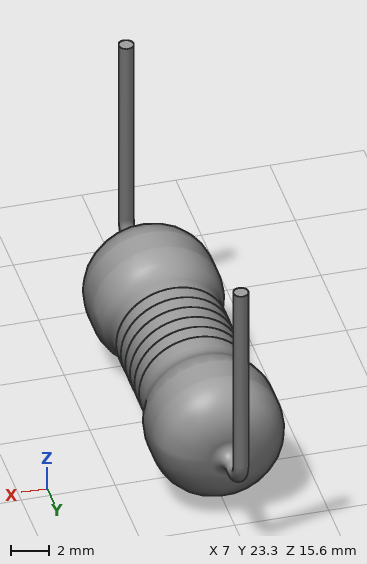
import cadquery as cq
import math

cap_radius = 3.5
core_radius = 5.95 / 2
body_half_length = 9.0
cap_round = 2.42
cap_straight = 1.4
shoulder_length = 2.05

wire_radius = 0.4
bend_radius = 1.2
half_span = 11.65
lead_top = 12.12

end_face_radius = cap_radius - cap_round
neck_fillet = end_face_radius - wire_radius
cap_outer = body_half_length - cap_round
cap_inner = cap_outer - cap_straight
core_half_length = cap_inner - shoulder_length
lead_y = half_span - wire_radius
bend_start = lead_y - bend_radius
neck_end = body_half_length + neck_fillet

band_radius = 5.96 / 2
band_count = 3
band_width = 2 * core_half_length / (2 * band_count + 1)
band_pitch = 2 * band_width

arc_reach = math.sqrt(0.5)


def half_body():
    """Revolve the +Y half: core, shoulder, rounded cap and flared neck."""
    shoulder_mid = ((core_radius + cap_radius) / 2, (core_half_length + cap_inner) / 2)
    cap_arc_mid = (
        end_face_radius + cap_round * arc_reach,
        cap_outer + cap_round * arc_reach,
    )
    neck_arc_mid = (
        end_face_radius - neck_fillet * arc_reach,
        neck_end - neck_fillet * arc_reach,
    )
    profile = (
        cq.Workplane("XY")
        .lineTo(core_radius, 0)
        .lineTo(core_radius, core_half_length)
        .tangentArcPoint(shoulder_mid, relative=False)
        .tangentArcPoint((cap_radius, cap_inner), relative=False)
        .lineTo(cap_radius, cap_outer)
        .threePointArc(cap_arc_mid, (end_face_radius, body_half_length))
        .threePointArc(neck_arc_mid, (wire_radius, neck_end))
        .lineTo(0, neck_end)
        .close()
    )
    return profile.revolve(360, (0, 0, 0), (0, 1, 0))


def lead():
    """Round wire leaving along +Y and bending up to +Z."""
    bend_mid = (
        bend_start + bend_radius * arc_reach,
        bend_radius * (1 - arc_reach),
    )
    path = (
        cq.Workplane("YZ")
        .moveTo(body_half_length, 0)
        .lineTo(bend_start, 0)
        .threePointArc(bend_mid, (lead_y, bend_radius))
        .lineTo(lead_y, lead_top)
    )
    section = cq.Workplane("XZ", origin=(0, body_half_length, 0)).circle(wire_radius)
    return section.sweep(path)


def band(center_y):
    """Raised ring around the core, built as a disc through it."""
    start = cq.Workplane("XZ", origin=(0, center_y + band_width / 2, 0))
    return start.circle(band_radius).extrude(band_width)


half = half_body().union(lead())
result = half.union(half.mirror("XZ"))
for i in range(band_count):
    result = result.union(band((i - (band_count - 1) / 2) * band_pitch))